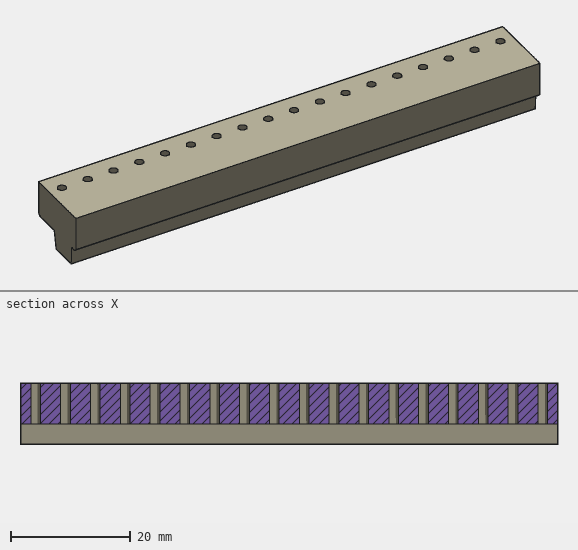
import cadquery as cq

length = 90.0
width = 12.4
height = 10.3

body_height = 6.8
edge_chamfer = 0.45

rib_left_at_body = 5.2
rib_left_at_foot = 5.85
rib_right_at_body = 11.1
rib_right_at_foot = 10.9

hole_count = 18
hole_diameter = 1.5
hole_offset = 3.5
hole_pitch = length / hole_count

left = -width / 2
right = width / 2
top = height / 2
foot = -height / 2
body_bottom = top - body_height


def make_strip():
    """Extrude the cross-section of body and rib along the full length."""
    outline = [
        (left, top),
        (right, top),
        (right, body_bottom + edge_chamfer),
        (right - edge_chamfer, body_bottom),
        (left + rib_right_at_body, body_bottom),
        (left + rib_right_at_foot, foot),
        (left + rib_left_at_foot, foot),
        (left + rib_left_at_body, body_bottom),
        (left + edge_chamfer, body_bottom),
        (left, body_bottom + edge_chamfer),
    ]
    section = cq.Workplane("XZ").polyline(outline).close()
    return section.extrude(length / 2, both=True)


def make_holes():
    """Row of vertical cylinders, evenly spaced with half a pitch left at each end."""
    return (
        cq.Workplane("XY", origin=(left + hole_offset, 0, foot))
        .rarray(0.9, hole_pitch, 1, hole_count)
        .circle(hole_diameter / 2)
        .extrude(height)
    )


result = make_strip().cut(make_holes())